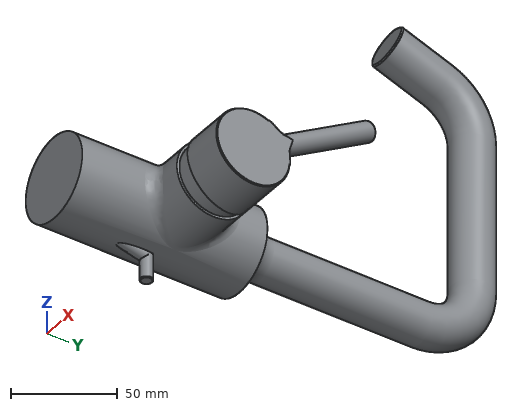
import cadquery as cq
import math

overall_width = 97.1
overall_length = 249.7

body_diameter = 46.7
body_radius = body_diameter / 2
body_length = 105.5

tube_radius = 11.5
bend_radius = 30.0
riser_y = overall_length - tube_radius
riser_top_z = 113.5
outlet_rise_angle = math.radians(20)
outlet_length = 30.7
outlet_chamfer = 0.7

branch_y = 62.7
branch_radius = 21.0
branch_end_x = 41.0
branch_fillet = 6.0
neck_radius = 19.5
neck_overlap = 2.5
cap_start_x = 43.0
cap_end_x = overall_width - body_radius
cap_bevel_depth = 7.5
cap_chamfer = 0.5
rim_gap_angle = 70.0

lever_diameter = 10.7
lever_radius = lever_diameter / 2
lever_length = 80.7
lever_tilt = 30.0
lever_x = cap_end_x - lever_radius
lever_root_fillet = 5.0
lever_tip_fillet = 2.2

pin_radius = 3.2
pin_y = 52.7
pin_bottom_z = -38.0
pin_elbow_z = -24.2
pin_arm_length = 27.5
pin_arm_angle = math.radians(14)
pin_chamfer = 0.5


def x_cylinder(start_x, end_x, radius):
    """Cylinder along X on the valve axis."""
    return (
        cq.Workplane("YZ", origin=(start_x, branch_y, 0))
        .circle(radius)
        .extrude(end_x - start_x)
    )


def make_body():
    """Main cylinder joined to the valve branch with a rounded corner."""
    cylinder = cq.Workplane("XZ").circle(body_radius).extrude(-body_length)
    joined = cylinder.union(x_cylinder(0, branch_end_x, branch_radius))
    corner_point = (body_radius / 2, branch_y, 0)
    corner = cq.selectors.NearestToPointSelector(corner_point)
    return joined.edges(corner).fillet(branch_fillet)


def make_flare():
    """Concave transition from the body down to the spout tube."""
    flare_size = body_radius - tube_radius
    middle = flare_size * (1 - math.sqrt(0.5))
    return (
        cq.Workplane("XY")
        .moveTo(0, body_length)
        .lineTo(body_radius, body_length)
        .threePointArc(
            (tube_radius + middle, body_length + middle),
            (tube_radius, body_length + flare_size),
        )
        .lineTo(0, body_length + flare_size)
        .close()
        .revolve(360, (0, 0, 0), (0, 1, 0))
    )


def make_spout():
    """Tube running back, up and then forward to the outlet."""
    bend_y = riser_y - bend_radius
    sweep_angle = math.pi / 2 - outlet_rise_angle

    def on_bend(center_z, angle):
        return (
            bend_y + bend_radius * math.cos(angle),
            center_z + bend_radius * math.sin(angle),
        )

    bend_end = on_bend(riser_top_z, sweep_angle)
    outlet = (
        bend_end[0] - outlet_length * math.cos(outlet_rise_angle),
        bend_end[1] + outlet_length * math.sin(outlet_rise_angle),
    )
    path = (
        cq.Workplane("YZ")
        .moveTo(body_length, 0)
        .lineTo(bend_y, 0)
        .threePointArc(on_bend(bend_radius, -math.pi / 4), (riser_y, bend_radius))
        .lineTo(riser_y, riser_top_z)
        .threePointArc(on_bend(riser_top_z, sweep_angle / 2), bend_end)
        .lineTo(*outlet)
    )
    tube = cq.Workplane("XZ", origin=(0, body_length, 0)).circle(tube_radius).sweep(path)
    outlet_point = (0, *outlet)
    return tube.faces(cq.selectors.NearestToPointSelector(outlet_point)).chamfer(outlet_chamfer)


def make_lever_cap():
    """Cap with a beveled inner edge, carrying the lever."""
    overhang = 2 * lever_radius
    cap = x_cylinder(cap_start_x, cap_end_x + overhang, branch_radius)

    bevel_start = branch_radius / 2
    bevel = (
        cq.Workplane("XY", origin=(0, branch_y, 0))
        .polyline([
            (cap_start_x, bevel_start),
            (cap_start_x, -branch_radius),
            (cap_start_x + cap_bevel_depth, -branch_radius),
        ])
        .close()
        .extrude(branch_radius, both=True)
        .rotate((0, branch_y, 0), (1, branch_y, 0), lever_tilt)
    )
    cap = cap.cut(bevel)

    lever = (
        cq.Workplane("XZ", origin=(lever_x, branch_y, 0))
        .circle(lever_radius)
        .extrude(-lever_length)
        .faces(">Y")
        .edges()
        .fillet(lever_tip_fillet)
        .rotate((0, branch_y, 0), (1, branch_y, 0), lever_tilt)
    )
    tilt = math.radians(lever_tilt)
    root = (
        lever_x,
        branch_y + branch_radius * math.cos(tilt),
        branch_radius * math.sin(tilt),
    )
    handle = cap.union(lever)
    handle = handle.edges(cq.selectors.NearestToPointSelector(root)).fillet(lever_root_fillet)

    trim_size = overall_length
    trim = cq.Workplane("YZ", origin=(cap_end_x, 0, 0)).rect(trim_size, trim_size).extrude(trim_size)

    rim_start = lever_tilt + rim_gap_angle / 2
    rim_chamfer = (
        cq.Workplane("XY", origin=(0, branch_y, 0))
        .polyline([
            (cap_end_x - cap_chamfer, branch_radius),
            (cap_end_x, branch_radius - cap_chamfer),
            (cap_end_x + cap_chamfer, branch_radius),
            (cap_end_x, branch_radius + cap_chamfer),
        ])
        .close()
        .revolve(360 - rim_gap_angle, (0, 0, 0), (1, 0, 0))
        .rotate((0, branch_y, 0), (1, branch_y, 0), rim_start)
    )
    return handle.cut(trim).cut(rim_chamfer)


def make_pin():
    """Vertical pin with a mitered arm running up into the body."""
    path = cq.Workplane("YZ").polyline([
        (pin_y, pin_bottom_z),
        (pin_y, pin_elbow_z),
        (
            pin_y - pin_arm_length * math.cos(pin_arm_angle),
            pin_elbow_z + pin_arm_length * math.sin(pin_arm_angle),
        ),
    ])
    profile = cq.Workplane("XY", origin=(0, pin_y, pin_bottom_z)).circle(pin_radius)
    return profile.sweep(path, transition="right").faces("<Z").chamfer(pin_chamfer)


neck = x_cylinder(branch_end_x - neck_overlap, cap_end_x - neck_overlap, neck_radius)
result = (
    make_body()
    .union(make_flare())
    .union(make_spout())
    .union(neck)
    .union(make_lever_cap())
    .union(make_pin())
)